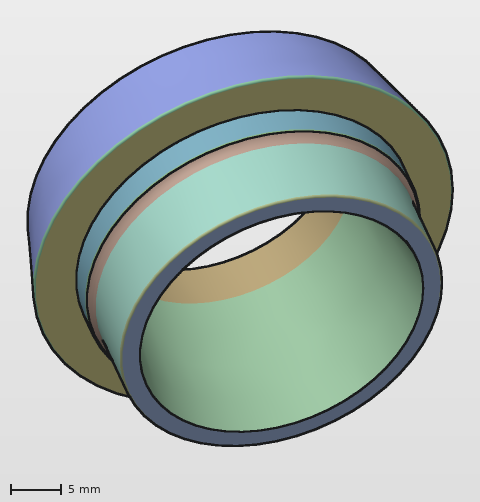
import cadquery as cq
import math

total_length = 22.0
flange_back = 10.05
collar_back = 13.05
neck_end = 14.25

flange_radius = 21.95
collar_radius = 17.5
tube_radius = 16.85

flange_angle = math.radians(15)
front_angle = math.radians(5)
land_width = 0.25

bore_radius = 13.05
bore_straight_end = 5.1
bore_angle = math.radians(6)
bore_back_radius = bore_radius + (total_length - bore_straight_end) * math.tan(bore_angle)

mouth_round = 0.18
nose_round = 0.2
rim_round = 0.2
collar_round = 0.15
tube_round = 0.2


def along(point, angle, distance):
    """Point at a distance from another, in a direction given by its angle to the axis."""
    return (point[0] + distance * math.cos(angle), point[1] + distance * math.sin(angle))


mouth_radius = bore_radius + mouth_round
land_radius = mouth_radius + land_width

rim_center = (flange_back - rim_round, flange_radius - rim_round)
rim_start = along(rim_center, math.pi / 2 + flange_angle, rim_round)
rim_end = (flange_back, rim_center[1])

front_run = math.tan(front_angle)
side_rise = math.tan(flange_angle)
side_start_radius = rim_start[1] - rim_start[0] * side_rise
nose_depth = (side_start_radius - land_radius) * front_run / (1 - front_run * side_rise)
nose = (nose_depth, side_start_radius + nose_depth * side_rise)
nose_turn = math.pi / 2 - front_angle - flange_angle
nose_tangent = nose_round * math.tan(nose_turn / 2)
nose_start = along(nose, math.pi / 2 - front_angle, -nose_tangent)
nose_end = along(nose, flange_angle, nose_tangent)

collar_edge_radius = collar_radius - collar_round
neck_length = neck_end - collar_back
neck_drop = collar_edge_radius - tube_radius
neck_round = (neck_length**2 + neck_drop**2) / (2 * neck_drop)

profile = (
    cq.Workplane("XY")
    .moveTo(0, mouth_radius)
    .lineTo(0, land_radius)
    .lineTo(*nose_start)
    .radiusArc(nose_end, nose_round)
    .lineTo(*rim_start)
    .radiusArc(rim_end, rim_round)
    .lineTo(flange_back, collar_radius)
    .lineTo(collar_back - collar_round, collar_radius)
    .radiusArc((collar_back, collar_edge_radius), collar_round)
    .radiusArc((neck_end, tube_radius), -neck_round)
    .lineTo(total_length - tube_round, tube_radius)
    .radiusArc((total_length, tube_radius - tube_round), tube_round)
    .lineTo(total_length, bore_back_radius)
    .lineTo(bore_straight_end, bore_radius)
    .lineTo(mouth_round, bore_radius)
    .radiusArc((0, mouth_radius), mouth_round)
    .close()
)

result = profile.revolve(axisStart=(0, 0, 0), axisEnd=(1, 0, 0))